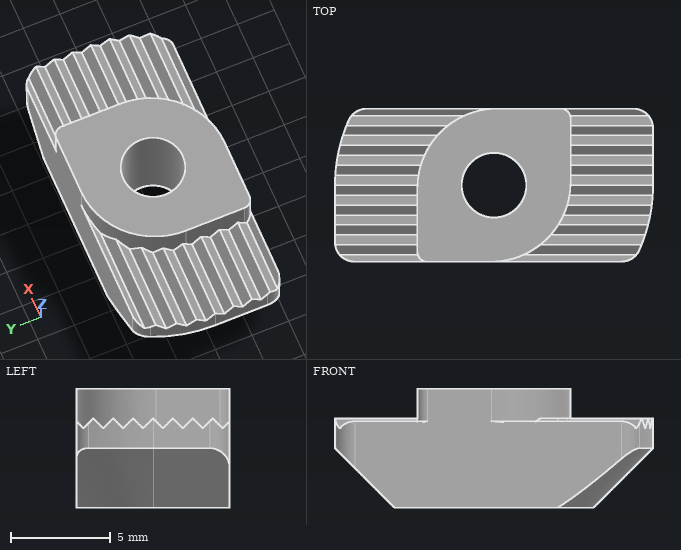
import cadquery as cq
import math

length = 16.0
width = 7.7
height = 6.0
half_length = length / 2
half_width = width / 2

flank_height = 3.0
head_height = 4.5
bottom_half_length = half_length - flank_height
head_corner_radius = 1.0

tooth_pitch = 1.0
tooth_depth = tooth_pitch / 2
groove_count = math.ceil(width / tooth_pitch)

boss_turn_radius = 4.0
boss_corner_radius = 0.5

hole_diameter = 3.24


def turning_head_envelope():
    """Flat ends in two opposite quadrants, a round tapered turning face in the others."""
    rim_profile = [
        (0, 0),
        (bottom_half_length, 0),
        (half_length, flank_height),
        (half_length, head_height),
        (0, head_height),
    ]
    turning_body = cq.Workplane("XZ").polyline(rim_profile).close().revolve(360, (0, 0), (0, 1))
    front_left_end = (
        cq.Workplane("XZ")
        .polyline(rim_profile)
        .close()
        .extrude(half_width)
        .mirror("YZ")
    )
    back_right_end = front_left_end.rotate((0, 0, 0), (0, 0, 1), 180)
    return turning_body.union(front_left_end).union(back_right_end)


def head_plan():
    """Extruded head outline with its four corners rounded."""
    turn_corner_x = math.sqrt(half_length**2 - half_width**2)
    mid_turn_angle = math.asin(half_width / half_length) / 2
    mid_turn_x = half_length * math.cos(mid_turn_angle)
    mid_turn_y = half_length * math.sin(mid_turn_angle)
    plan = (
        cq.Workplane("XY")
        .moveTo(-half_length, -half_width)
        .lineTo(turn_corner_x, -half_width)
        .threePointArc((mid_turn_x, -mid_turn_y), (half_length, 0))
        .lineTo(half_length, half_width)
        .lineTo(-turn_corner_x, half_width)
        .threePointArc((-mid_turn_x, mid_turn_y), (-half_length, 0))
        .close()
        .extrude(head_height)
    )
    return plan.edges("|Z and (<Y or >Y)").fillet(head_corner_radius)


def tooth_grooves():
    """V grooves running along the full length, half a pitch off the crests."""
    grooves = cq.Workplane("YZ", origin=(-half_length, 0, 0))
    for index in range(groove_count):
        valley_y = (index - (groove_count - 1) / 2) * tooth_pitch
        grooves = grooves.polyline([
            (valley_y - tooth_pitch / 2, head_height),
            (valley_y, head_height - tooth_depth),
            (valley_y + tooth_pitch / 2, head_height),
        ]).close()
    return grooves.extrude(length)


def boss():
    """Boss rising from inside the solid head, below the tooth valleys, to the top face."""
    return (
        cq.Workplane("XY", origin=(0, 0, flank_height))
        .rect(width, width)
        .extrude(height - flank_height)
        .edges("|Z and ((>X and <Y) or (<X and >Y))")
        .fillet(boss_turn_radius)
        .edges("|Z and ((>X and >Y) or (<X and <Y))")
        .fillet(boss_corner_radius)
    )


def through_hole():
    """Vertical hole on the part axis."""
    return cq.Workplane("XY").circle(hole_diameter / 2).extrude(height)


head = head_plan().intersect(turning_head_envelope())
toothed_head = head.cut(tooth_grooves())
result = toothed_head.union(boss()).cut(through_hole())